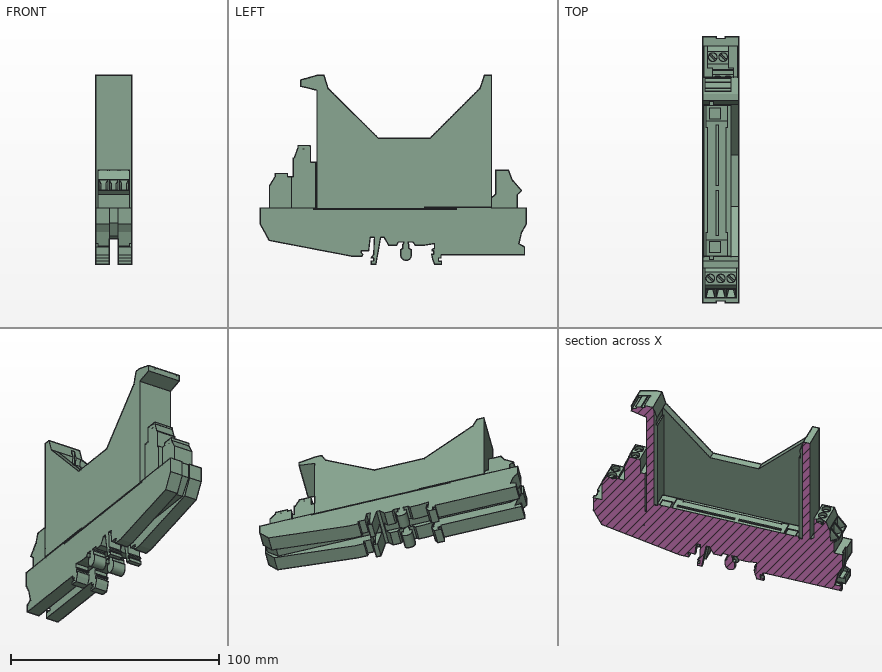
import cadquery as cq
import math

WIDTH = 17.5
HALF_LENGTH = 63.8
BASE_TOP = 27.0
HEIGHT = 90.7
FULL_X = (-WIDTH / 2, WIDTH / 2)

TOWER_BACK = 36.6
TOWER_FRONT = -47.0
SHOULDER_Z = 84.4
SADDLE_Z = 60.4
CAVITY_BACK = 31.2
CAVITY_FRONT = -41.6
CAVITY_LEFT = -7.9
CAVITY_RIGHT = 4.8
CAVITY_FLOOR = 31.1
WALL_LEDGE_Z = 80.1
WALL_LEDGE = 0.4
UNDERCUT_Z = 82.6
UNDERCUT = 0.4
CODING_SLOT_X = (-5.4, -3.6)
CODING_SLOT_DEPTH = 1.4

PLATE_WIDE_X = (-7.1, 3.3)
PLATE_NARROW_X = (-6.4, 2.5)
PLATE_SHOULDERS_Y = (-30.1, 20.1)
PLATE_STEPS_Y = (-33.7, 23.5)
PLATE_HEIGHT = 0.8
STEP_HEIGHT = 0.4
CONTACT_SLOT_X = (-2.3, -1.0)
CONTACT_SLOTS_Y = ((-7.5, 21.5), (-31.4, -9.8))
SQUARE_SIDE = 5.2
SQUARE_X = -5.4
SQUARES_Y = (-39.7, 24.4)

NOSE_TIP_Y = 44.4
NOSE_TIP_Z = 88.4
NOSE_FLAT_Y = 36.2
LATCH_X = (-7.5, 4.8)
LATCH_Y = (37.6, 44.0)
LATCH_RIB_Y = (39.3, 42.1)
LATCH_DEPTH = 1.3
LATCH_FRONT_DEPTH = 0.9
LATCH_RIB_DEPTH = 0.4

SCREW_PITCH = 5.0
SCREW_RADIUS = 2.0
SCREW_DEPTH = 1.8
DRIVER_SLOT_WIDTH = 0.8
DRIVER_SLOT_DEPTH = 0.5
TERMINAL_LOW_X = (-6.4, 3.7)
TERMINAL_HIGH_X = (-4.0, 6.0)
TERMINAL_FRONT_X = (-7.6, 7.6)
TERMINAL_EMBED = 2.5
TERMINAL_LOW_TOP = 43.6
TERMINAL_HIGH_TOP = 57.0
TERMINAL_FRONT_TOP = 45.1
TERMINAL_SPLIT_Y = 48.7
SHELF_Z = 42.1
LOW_SCREW_Y = 53.9
HIGH_SCREW_Y = 43.0
FRONT_SCREW_Y = -52.0
WELL_HALF_WIDTH = 7.9
WELL_BACK = 59.3
WELL_DEPTH = 1.0

WIRE_FACE_TOP = (-56.9, 40.7)
WIRE_FACE_BOTTOM = (-61.5, 35.3)
WIRE_MARGIN = 0.05
WIRE_MOUTH = 4.2
WIRE_THROAT = 2.3
WIRE_BACK_TOP = (-57.4, 38.6)
WIRE_BACK_BOTTOM = (-57.4, 33.8)

END_FACE_Z = 19.4
CHANNEL_WIDTH = 4.2
WEB_BOTTOM = 12.2
END_NOTCH_DEPTH = 0.9
FOOT_CHEEK = 1.1
FOOT_LIP_Y = -62.2
FOOT_POCKET_FLOOR = 7.6
LEG_KNEE = (-61.5, 15.3)
FOOT_CREASE = (-60.2, 10.0)

SEAM_DEPTH = 0.1
SEAMS = ((38.1, -30.3, 26.4, 26.8), (-15.0, TOWER_FRONT, 27.2, 27.4))


def box(x_range, y_range, z_range):
    """Axis-aligned block spanning the three ranges, each given in either order."""
    spans = [sorted(r) for r in (x_range, y_range, z_range)]
    size = [high - low for low, high in spans]
    corner = tuple(low for low, high in spans)
    return cq.Workplane("XY").box(*size, centered=False).translate(corner)


def slab(points, x_range):
    """Side profile of (Y, Z) points, extruded across an X range."""
    x_low, x_high = x_range
    return cq.Workplane("YZ").workplane(offset=x_low).polyline(points).close().extrude(x_high - x_low)


def base():
    """Base body with its rail feet, drawn as one side outline."""
    bulb_shoulder_z = 7.1
    bulb_arc_z = 4.5
    bulb_left, bulb_right = -3.6, -8.7
    bulb_bottom = 1.9
    return (
        cq.Workplane("YZ").workplane(offset=FULL_X[0])
        .moveTo(HALF_LENGTH, BASE_TOP)
        .lineTo(HALF_LENGTH, END_FACE_Z).lineTo(59.4, 11.5).lineTo(19.5, 3.8)
        .lineTo(15.0, 3.8).lineTo(14.5, 4.8).lineTo(15.3, 5.6).lineTo(15.3, 6.5)
        .lineTo(11.7, 6.5).lineTo(11.0, 13.0).lineTo(9.0, 13.0).lineTo(9.4, 4.7)
        .lineTo(10.6, 3.2).lineTo(9.4, 3.0).lineTo(9.4, 1.7).lineTo(10.6, 1.7).lineTo(10.6, 0)
        .lineTo(8.3, 0).lineTo(6.0, 13.0).lineTo(4.5, 13.0)
        .lineTo(2.2, 9.2).lineTo(-1.7, 9.2).lineTo(-2.4, 10.7).lineTo(-5.2, 10.7)
        .lineTo(-4.5, 9.4).lineTo(-4.5, 7.6).lineTo(bulb_left, bulb_shoulder_z).lineTo(bulb_left, bulb_arc_z)
        .threePointArc(((bulb_left + bulb_right) / 2, bulb_bottom), (bulb_right, bulb_arc_z))
        .lineTo(bulb_right, bulb_shoulder_z).lineTo(-7.5, 7.6).lineTo(-7.5, 9.4)
        .lineTo(-7.0, 10.7).lineTo(-9.4, 10.7).lineTo(-10.5, 9.2).lineTo(-14.9, 9.2)
        .lineTo(-19.6, 10.0).lineTo(-19.6, 7.6).lineTo(-18.6, 7.3).lineTo(-18.6, 6.5)
        .lineTo(-19.4, 6.5).lineTo(-19.4, 5.0).lineTo(-18.4, 5.0).lineTo(-18.7, 2.8)
        .lineTo(-19.8, 0).lineTo(-23.2, 0).lineTo(-23.2, 1.5).lineTo(-21.7, 1.5)
        .lineTo(-21.7, 3.0).lineTo(-23.0, 3.0).lineTo(-23.0, 4.6)
        .lineTo(-62.9, 4.6).lineTo(-62.9, 8.4).lineTo(*FOOT_CREASE).lineTo(*LEG_KNEE)
        .lineTo(-HALF_LENGTH, END_FACE_Z).lineTo(-HALF_LENGTH, BASE_TOP)
        .close()
        .extrude(WIDTH)
    )


def leg_channel():
    """Slot along the underside and up both ends; what stays above it is the central web."""
    outside = HALF_LENGTH + 1.3
    above = BASE_TOP + 1.3
    below = -1.3
    notch_y = HALF_LENGTH - END_NOTCH_DEPTH
    profile = [
        (-outside, above), (-notch_y, above), (-notch_y, 19.9), (-59.5, 13.6), (-57.4, WEB_BOTTOM),
        (57.4, WEB_BOTTOM), (notch_y, 19.9), (notch_y, above), (outside, above),
        (outside, below), (-outside, below),
    ]
    return slab(profile, (-CHANNEL_WIDTH / 2, CHANNEL_WIDTH / 2))


def foot_pockets():
    """Open-topped pocket behind the lip of both front feet, closed by the outer cheeks."""
    outer = WIDTH / 2 - FOOT_CHEEK
    crease_y, crease_z = FOOT_CREASE
    lean = (crease_y - LEG_KNEE[0]) / (LEG_KNEE[1] - crease_z)
    back_y = crease_y + lean * (crease_z - FOOT_POCKET_FLOOR)
    profile = [
        (FOOT_LIP_Y, FOOT_POCKET_FLOOR), (FOOT_LIP_Y, crease_z), FOOT_CREASE,
        (back_y, FOOT_POCKET_FLOOR),
    ]
    return slab(profile, (-outer, outer))


def tower_body():
    """Solid tower with the latch nose, before the cavity is cut."""
    profile = [
        (TOWER_BACK, BASE_TOP - 1.3), (TOWER_BACK, 83.4), (NOSE_TIP_Y, 85.3),
        (NOSE_TIP_Y, NOSE_TIP_Z), (NOSE_FLAT_Y, HEIGHT), (33.2, HEIGHT), (CAVITY_BACK, SHOULDER_Z),
        (7.1, SADDLE_Z), (-17.6, SADDLE_Z), (CAVITY_FRONT, SHOULDER_Z),
        (-43.6, HEIGHT), (TOWER_FRONT, HEIGHT), (TOWER_FRONT, BASE_TOP - 1.3),
    ]
    return slab(profile, FULL_X)


def cavity():
    """Open space between the side walls, with a coding slot in each end wall."""
    x_range = (CAVITY_LEFT, CAVITY_RIGHT)
    front_wall = [
        (CAVITY_FRONT, HEIGHT), (CAVITY_FRONT, SHOULDER_Z), (CAVITY_FRONT - UNDERCUT, UNDERCUT_Z),
        (CAVITY_FRONT - UNDERCUT, WALL_LEDGE_Z), (CAVITY_FRONT + WALL_LEDGE, WALL_LEDGE_Z),
        (CAVITY_FRONT + WALL_LEDGE, CAVITY_FLOOR),
    ]
    back_wall = [(CAVITY_FRONT + CAVITY_BACK - y, z) for y, z in reversed(front_wall)]
    space = slab(front_wall + back_wall, x_range)
    coding_y = (CAVITY_FRONT - CODING_SLOT_DEPTH, CAVITY_BACK + CODING_SLOT_DEPTH)
    return space.union(box(CODING_SLOT_X, coding_y, (CAVITY_FLOOR, HEIGHT)))


def contact_plate():
    """Plate on the cavity floor, wider and stepped at both ends."""
    front = CAVITY_FRONT + WALL_LEDGE
    back = CAVITY_BACK - WALL_LEDGE
    bottom = CAVITY_FLOOR - 1.3
    top = CAVITY_FLOOR + PLATE_HEIGHT
    plate = box(PLATE_NARROW_X, (front, back), (bottom, top))
    for end, shoulder, step in zip((front, back), PLATE_SHOULDERS_Y, PLATE_STEPS_Y):
        plate = plate.union(box(PLATE_WIDE_X, (end, shoulder), (bottom, top)))
        plate = plate.union(box(PLATE_WIDE_X, (end, step), (bottom, top + STEP_HEIGHT)))
    for y_range in CONTACT_SLOTS_Y:
        plate = plate.cut(box(CONTACT_SLOT_X, y_range, (CAVITY_FLOOR, top)))
    for y in SQUARES_Y:
        recess = box((SQUARE_X, SQUARE_X + SQUARE_SIDE), (y, y + SQUARE_SIDE), (top, top + 1.3))
        plate = plate.cut(recess)
    return plate


def nose_point(y, depth):
    """Point at a given depth square below the sloping nose top."""
    run = NOSE_TIP_Y - NOSE_FLAT_Y
    drop = HEIGHT - NOSE_TIP_Z
    length = math.hypot(run, drop)
    surface_z = HEIGHT - drop / run * (y - NOSE_FLAT_Y)
    return (y - depth * drop / length, surface_z - depth * run / length)


def latch_recess():
    """Recess cut square into the nose top, with a low rib left standing across it."""
    front, back = LATCH_Y
    rib_front, rib_back = LATCH_RIB_Y
    profile = [
        nose_point(front, -1.3), nose_point(front, LATCH_FRONT_DEPTH),
        nose_point(rib_front, LATCH_FRONT_DEPTH), nose_point(rib_front, LATCH_RIB_DEPTH),
        nose_point(rib_back, LATCH_RIB_DEPTH), nose_point(rib_back, LATCH_DEPTH),
        nose_point(back, LATCH_DEPTH), nose_point(back, -1.3),
    ]
    return slab(profile, LATCH_X)


def screw_cutter(x, y, top):
    """Round screw well with a diagonal driver slot in its floor."""
    well = cq.Workplane("XY").workplane(offset=top - SCREW_DEPTH).center(x, y).circle(SCREW_RADIUS)
    well = well.extrude(SCREW_DEPTH)
    slot = (
        cq.Workplane("XY").workplane(offset=top - SCREW_DEPTH - DRIVER_SLOT_DEPTH)
        .center(x, y).transformed(rotate=(0, 0, -45))
        .rect(2 * SCREW_RADIUS, DRIVER_SLOT_WIDTH).extrude(SCREW_DEPTH)
    )
    round_limit = cq.Workplane("XY").workplane(offset=top - 2 * SCREW_DEPTH).center(x, y)
    round_limit = round_limit.circle(SCREW_RADIUS).extrude(2 * SCREW_DEPTH)
    return well.union(slot.intersect(round_limit))


def terminal(profile, x_range, poles, screw_y, top):
    """Terminal block with one row of screws centred across its width."""
    block = slab(profile, x_range)
    middle = sum(x_range) / 2
    for pole in range(poles):
        x = middle + (pole - (poles - 1) / 2) * SCREW_PITCH
        block = block.cut(screw_cutter(x, screw_y, top))
    return block


def low_terminal():
    foot = BASE_TOP - TERMINAL_EMBED
    profile = [
        (WELL_BACK, foot), (WELL_BACK, 37.6), (56.6, SHELF_Z), (56.6, TERMINAL_LOW_TOP),
        (50.6, TERMINAL_LOW_TOP), (50.6, SHELF_Z), (TERMINAL_SPLIT_Y, SHELF_Z), (TERMINAL_SPLIT_Y, foot),
    ]
    return terminal(profile, TERMINAL_LOW_X, 2, LOW_SCREW_Y, TERMINAL_LOW_TOP)


def high_terminal():
    foot = BASE_TOP - TERMINAL_EMBED
    profile = [
        (TERMINAL_SPLIT_Y, foot), (TERMINAL_SPLIT_Y, SHELF_Z), (48.0, SHELF_Z),
        (48.0, 51.0), (47.4, 51.0), (45.6, 56.0), (45.6, TERMINAL_HIGH_TOP), (39.8, TERMINAL_HIGH_TOP),
        (39.5, 56.0), (39.5, 49.0), (37.1, 49.0), (37.1, foot),
    ]
    return terminal(profile, TERMINAL_HIGH_X, 2, HIGH_SCREW_Y, TERMINAL_HIGH_TOP)


def face_point(share):
    """Point (Y, Z) at a share of the way down the sloping wire face."""
    return tuple(t + share * (b - t) for t, b in zip(WIRE_FACE_TOP, WIRE_FACE_BOTTOM))


def cross_rectangle(x, width, top, bottom):
    """Closed rectangular wire centred on x, its edges along X at the given (Y, Z) points."""
    left, right = x - width / 2, x + width / 2
    corners = [(left, *top), (right, *top), (right, *bottom), (left, *bottom)]
    return cq.Wire.makePolygon([cq.Vector(*corner) for corner in corners], close=True)


def wire_funnel(x):
    """Wire entry narrowing from its mouth in the sloping face to its upright back."""
    mouth = cross_rectangle(x, WIRE_MOUTH, face_point(WIRE_MARGIN), face_point(1 - WIRE_MARGIN))
    throat = cross_rectangle(x, WIRE_THROAT, WIRE_BACK_TOP, WIRE_BACK_BOTTOM)
    return cq.Workplane(obj=cq.Solid.makeLoft([mouth, throat], True))


def front_terminal():
    foot = BASE_TOP - TERMINAL_EMBED
    profile = [
        (TOWER_FRONT, foot), (TOWER_FRONT, 32.0), (-49.0, 33.5), (-49.0, TERMINAL_FRONT_TOP),
        (-55.2, TERMINAL_FRONT_TOP), WIRE_FACE_TOP, WIRE_FACE_BOTTOM, (-59.4, 33.4), (-59.4, foot),
    ]
    block = terminal(profile, TERMINAL_FRONT_X, 3, FRONT_SCREW_Y, TERMINAL_FRONT_TOP)
    for pole in (-1, 0, 1):
        block = block.cut(wire_funnel(pole * SCREW_PITCH))
    return block


def seams():
    """Fine grooves along both sides where the tower meets the base."""
    outer = WIDTH / 2
    cutters = cq.Workplane("XY")
    for y_start, y_end, z_low, z_high in SEAMS:
        for side in (-1, 1):
            x_range = (side * (outer - SEAM_DEPTH), side * outer)
            cutters = cutters.add(box(x_range, (y_start, y_end), (z_low, z_high)))
    return cutters.combine()


terminal_well = box(
    (-WELL_HALF_WIDTH, WELL_HALF_WIDTH), (WELL_BACK, TOWER_BACK), (BASE_TOP - WELL_DEPTH, BASE_TOP)
)
lower_part = base().cut(leg_channel()).cut(foot_pockets()).cut(terminal_well)
tower = tower_body().cut(cavity()).union(contact_plate()).cut(latch_recess())

result = lower_part.union(tower).cut(seams())
for block in (low_terminal(), high_terminal(), front_terminal()):
    result = result.union(block)